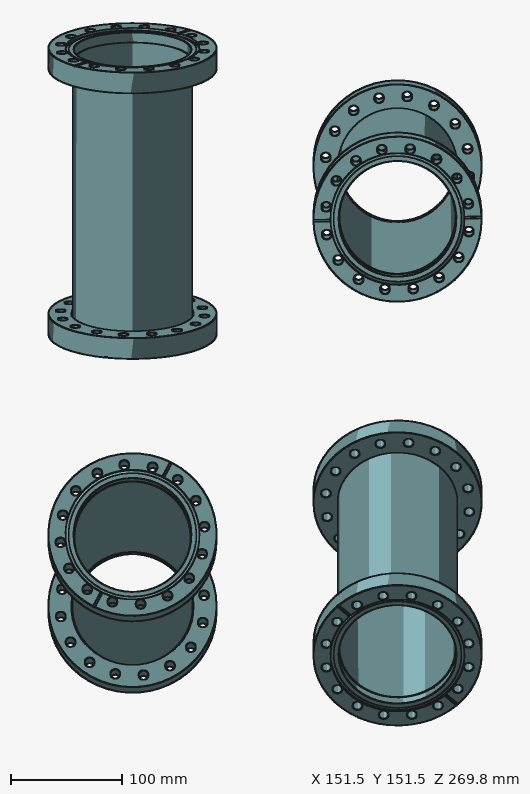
import cadquery as cq

TOTAL_LENGTH = 269.8
FLANGE_DIAMETER = 151.5
FLANGE_THICKNESS = 20.0
EDGE_CHAMFER = 0.4

TUBE_DIAMETER = 108.0
TUBE_WALL = 2.0
TUBE_END_DEPTH = 11.3

RECESS_DIAMETER = 120.5
RECESS_DEPTH = 2.5
KNIFE_DIAMETER = 115.0
KNIFE_DEPTH = 1.3
INNER_FACE_DEPTH = 1.5
BORE_DIAMETER = 105.5

HOLE_COUNT = 16
HOLE_DIAMETER = 8.4
BOLT_CIRCLE_DIAMETER = 130.3
HOLE_PITCH = 360 / HOLE_COUNT

GROOVE_WIDTH = 2.0
GROOVE_DEPTH = 0.8
TOP_GROOVE_ANGLE = -93.4
BOTTOM_GROOVE_ANGLE = -68.6

INSERT_THICKNESS = 13.5
RING_BORE_DIAMETER = 110.0

FLANGE_RADIUS = FLANGE_DIAMETER / 2
TUBE_RADIUS = TUBE_DIAMETER / 2
RECESS_RADIUS = RECESS_DIAMETER / 2
KNIFE_RADIUS = KNIFE_DIAMETER / 2
BORE_RADIUS = BORE_DIAMETER / 2
RING_BORE_RADIUS = RING_BORE_DIAMETER / 2
INSERT_BACK_DEPTH = RECESS_DEPTH + INSERT_THICKNESS




def revolved(profile):
    """Turn a closed (radius, height) profile around the Z axis."""
    return cq.Workplane("XZ").polyline(profile).close().revolve(360, (0, 0), (0, 1))


def sealing_steps():
    """Profile points from the recess corner over the knife edge and down the bore to the tube socket."""
    return [
        (RECESS_RADIUS, -RECESS_DEPTH),
        (KNIFE_RADIUS, -KNIFE_DEPTH),
        (KNIFE_RADIUS, -INNER_FACE_DEPTH),
        (BORE_RADIUS + EDGE_CHAMFER, -INNER_FACE_DEPTH),
        (BORE_RADIUS, -INNER_FACE_DEPTH - EDGE_CHAMFER),
        (BORE_RADIUS, -TUBE_END_DEPTH),
        (TUBE_RADIUS, -TUBE_END_DEPTH),
    ]


def rim_steps():
    """Profile points up the outside of a flange, chamfered at both edges."""
    return [
        (FLANGE_RADIUS - EDGE_CHAMFER, -FLANGE_THICKNESS),
        (FLANGE_RADIUS, EDGE_CHAMFER - FLANGE_THICKNESS),
        (FLANGE_RADIUS, -EDGE_CHAMFER),
        (FLANGE_RADIUS - EDGE_CHAMFER, 0),
    ]


def bolt_hole_cutter(first_angle):
    """Ring of through holes, each chamfered at both flange faces."""
    radius = HOLE_DIAMETER / 2
    mouth = radius + EDGE_CHAMFER
    hole = revolved([
        (0, 0),
        (mouth, 0),
        (radius, -EDGE_CHAMFER),
        (radius, EDGE_CHAMFER - FLANGE_THICKNESS),
        (mouth, -FLANGE_THICKNESS),
        (0, -FLANGE_THICKNESS),
    ]).val()
    spots = cq.Workplane("XY").polarArray(BOLT_CIRCLE_DIAMETER / 2, first_angle, 360, HOLE_COUNT)
    return spots.eachpoint(hole, combine="a")


def leak_groove_cutter(angle):
    """Two opposite radial grooves from the recess to the rim."""
    bar = cq.Workplane("XY").rect(FLANGE_DIAMETER, GROOVE_WIDTH).extrude(-GROOVE_DEPTH)
    recess = cq.Workplane("XY").circle(RECESS_RADIUS).extrude(-GROOVE_DEPTH)
    return bar.cut(recess).rotate((0, 0, 0), (0, 0, 1), angle)


def drilled_and_grooved(blank, groove_angle):
    """Cut the bolt holes and leak grooves that both flanges share."""
    holes = bolt_hole_cutter(groove_angle + HOLE_PITCH / 2)
    return blank.cut(holes).cut(leak_groove_cutter(groove_angle))


def make_fixed_flange():
    """One-piece flange with bolt holes and sealing face."""
    profile = [
        (TUBE_RADIUS, -FLANGE_THICKNESS),
        *rim_steps(),
        (RECESS_RADIUS, 0),
        *sealing_steps(),
    ]
    return drilled_and_grooved(revolved(profile), TOP_GROOVE_ANGLE)


def make_bolt_ring():
    """Outer part of the rotatable flange, with a seat for the insert and clearance around the tube."""
    profile = [
        (RING_BORE_RADIUS, -FLANGE_THICKNESS),
        *rim_steps(),
        (RECESS_RADIUS, 0),
        (RECESS_RADIUS, -INSERT_BACK_DEPTH),
        (RING_BORE_RADIUS, -INSERT_BACK_DEPTH),
    ]
    return drilled_and_grooved(revolved(profile), -BOTTOM_GROOVE_ANGLE)


def make_sealing_insert():
    """Inner part of the rotatable flange, which carries the sealing face and holds the tube."""
    profile = [
        (TUBE_RADIUS, -INSERT_BACK_DEPTH),
        (RECESS_RADIUS, -INSERT_BACK_DEPTH),
        *sealing_steps(),
    ]
    return revolved(profile)


def make_tube():
    """Straight tube that ends inside both flanges."""
    length = TOTAL_LENGTH - 2 * TUBE_END_DEPTH
    start = cq.Workplane("XY").workplane(offset=-length / 2)
    return start.circle(TUBE_RADIUS).circle(TUBE_RADIUS - TUBE_WALL).extrude(length)


def at_top(body):
    return body.translate((0, 0, TOTAL_LENGTH / 2))


def at_bottom(body):
    """Turn a body over about the X axis, which reverses its angles, and move it to the lower end."""
    return body.rotate((0, 0, 0), (1, 0, 0), 180).translate((0, 0, -TOTAL_LENGTH / 2))


fixed_flange = at_top(make_fixed_flange())
bolt_ring = at_bottom(make_bolt_ring())
sealing_insert = at_bottom(make_sealing_insert())
tube = make_tube()

result = cq.Compound.makeCompound([
    fixed_flange.val(),
    bolt_ring.val(),
    sealing_insert.val(),
    tube.val(),
])